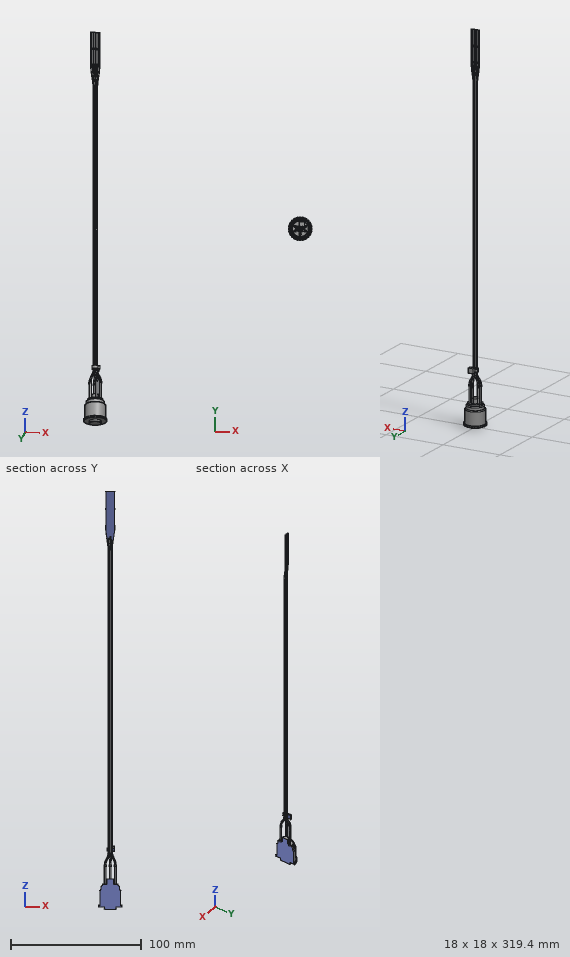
import cadquery as cq
import math

overall_height = 319.4

plug_diameter = 9.2
plug_top = 1.9
plug_chamfer = 0.4
flange_diameter = 18.0
flange_top = 3.4
flange_chamfer = 0.35
body_diameter = 16.3
body_top = 15.4
collar_diameter = 14.3
collar_top = 18.4
cap_diameter = 12.0
cap_top = 19.5
post_diameter = 5.2
post_top = 23.5
shoulder_chamfer = 0.8

grip_count = 24
grip_radius = 0.8
grip_depth = 0.3

wire_diameter = 1.22
wire_pitch = 1.19
ribbon_length = 26.9
fan_length = 18.2
groove_diameter = 1.18
groove_length = 0.9
groove_drops = (13.0, 26.0)

sleeve_diameter = 1.39
sleeve_top = 33.9
sleeve_ring_diameter = 1.7
sleeve_ring_height = 1.0
splay_clearance = 0.6
pin_circle_radius = 4.25
side_pin_angle = 23.5

tie_bottom = 44.6
tie_height = 2.4
tie_thickness = 0.7
tie_head_x = (-0.9, 3.4)
tie_head_outer_y = 5.2
tie_head_z = (44.2, 48.4)
tie_lug_reach = 3.4
tie_lug_width = 3.2

bundle_radius = wire_pitch + wire_diameter / 2
ribbon_bottom = overall_height - ribbon_length
fan_bottom = ribbon_bottom - fan_length
splay_top = tie_bottom - splay_clearance


def cylinder(diameter, bottom, top, x=0.0, y=0.0):
    return cq.Workplane("XY", origin=(x, y, bottom)).circle(diameter / 2).extrude(top - bottom)


def on_circle(radius, angle):
    return radius * math.cos(math.radians(angle)), radius * math.sin(math.radians(angle))


pin_angles = (side_pin_angle - 180, -90, -side_pin_angle, side_pin_angle, 90, 180 - side_pin_angle)
ribbon_slots = (0, 1, 3, 5, 4, 2)
wires = []
for wire_index, (pin_angle, slot) in enumerate(zip(pin_angles, ribbon_slots)):
    bundle_angle = -180 + wire_index * 360 / len(pin_angles)
    wires.append((on_circle(pin_circle_radius, pin_angle), on_circle(wire_pitch, bundle_angle), slot))


def make_flange():
    flange = cylinder(flange_diameter, plug_top, flange_top).faces("<Z").chamfer(flange_chamfer)
    first_notch_angle = 180 / grip_count
    notches = (
        cq.Workplane("XY", origin=(0, 0, plug_top))
        .polarArray(flange_diameter / 2 - grip_depth + grip_radius, first_notch_angle, 360, grip_count)
        .circle(grip_radius)
        .extrude(flange_top - plug_top)
    )
    return flange.cut(notches)


def make_housing():
    housing = cylinder(plug_diameter, 0, plug_top).faces("<Z").chamfer(plug_chamfer)
    housing = housing.union(make_flange())
    body = cylinder(body_diameter, flange_top, body_top)
    housing = housing.union(body.faces(">Z").chamfer(shoulder_chamfer))
    collar = cylinder(collar_diameter, body_top, collar_top)
    housing = housing.union(collar.faces(">Z").chamfer(shoulder_chamfer))
    housing = housing.union(cylinder(cap_diameter, collar_top, cap_top))
    housing = housing.union(cylinder(post_diameter, cap_top, post_top))
    for pin, _, _ in wires:
        housing = housing.cut(cylinder(sleeve_diameter, collar_top, sleeve_top, *pin))
    return housing


def bent_wire(start, end):
    """A length of wire swept from one point to another, upright at both ends."""
    path = cq.Workplane("XY").spline([start, end], tangents=[(0, 0, 1), (0, 0, 1)])
    return cq.Workplane("XY", origin=start).circle(wire_diameter / 2).sweep(path)


def make_ribbon_wire(x):
    """A straight wire of the ribbon, with a shallow groove at each of the groove places."""
    wire = cylinder(wire_diameter, ribbon_bottom, overall_height, x)
    for drop in groove_drops:
        top = overall_height - drop
        groove = cylinder(2 * wire_diameter, top - groove_length, top, x)
        wire = wire.cut(groove.cut(cylinder(groove_diameter, top - groove_length, top, x)))
    return wire


def make_wire(pin, place, slot):
    ribbon_x = (slot - (len(wires) - 1) / 2) * wire_pitch
    wire = cylinder(sleeve_diameter, collar_top, sleeve_top, *pin)
    wire = wire.union(cylinder(sleeve_ring_diameter, sleeve_top - sleeve_ring_height, sleeve_top, *pin))
    wire = wire.union(bent_wire((*pin, sleeve_top), (*place, splay_top)))
    wire = wire.union(cylinder(wire_diameter, splay_top, fan_bottom, *place))
    wire = wire.union(bent_wire((*place, fan_bottom), (ribbon_x, 0, ribbon_bottom)))
    return wire.union(make_ribbon_wire(ribbon_x))


def make_cable():
    cable = make_wire(*wires[0])
    for wire in wires[1:]:
        cable = cable.union(make_wire(*wire))
    return cable


def make_tie():
    band = cylinder(2 * (bundle_radius + tie_thickness), tie_bottom, tie_bottom + tie_height)
    head_left, head_right = tie_head_x
    head_bottom, head_top = tie_head_z
    head = (
        cq.Workplane("XY", origin=(head_left, 0, head_bottom))
        .box(head_right - head_left, tie_head_outer_y - bundle_radius, head_top - head_bottom, centered=False)
        .translate((0, bundle_radius, 0))
    )
    lug = (
        cq.Workplane("XY", origin=(0, 0, tie_bottom))
        .box(tie_lug_reach, tie_lug_width, tie_height, centered=(False, True, False))
    )
    return band.union(head).union(lug).cut(cylinder(2 * bundle_radius, head_bottom, head_top))


housing = make_housing()
cable = make_cable()
tie = make_tie()
result = cq.Compound.makeCompound([housing.val(), *cable.vals(), *tie.vals()])